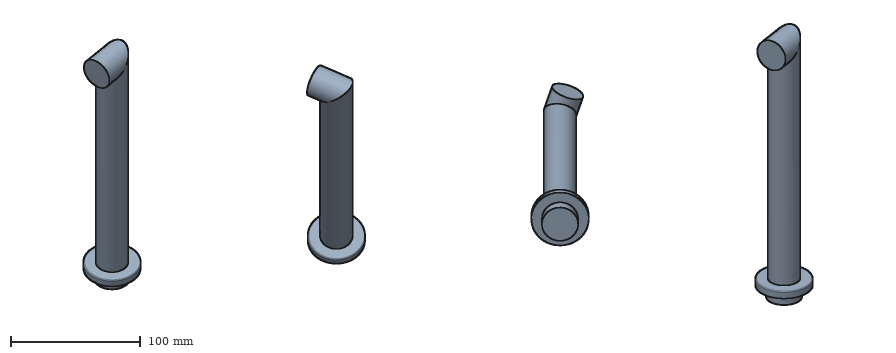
import cadquery as cq

overall_height = 232.41
tube_diameter = 25.4
outlet_reach = 19.05
flange_diameter = 44.45
flange_thickness = 6.35
flange_edge_radius = 0.762
spigot_diameter = 27.94
spigot_length = 10.16

tube_radius = tube_diameter / 2
flange_top = spigot_length + flange_thickness
outlet_axis_height = overall_height - tube_radius


def make_spigot():
    """Short round stub below the flange, standing on Z = 0."""
    return cq.Workplane("XY").circle(spigot_diameter / 2).extrude(spigot_length)


def make_flange():
    """Round flange with a small fillet on its upper edge."""
    disc = (
        cq.Workplane("XY")
        .workplane(offset=spigot_length)
        .circle(flange_diameter / 2)
        .extrude(flange_thickness)
    )
    return disc.faces(">Z").edges().fillet(flange_edge_radius)


def make_spout():
    """Vertical tube mitred at 45 degrees into an outlet that points to -Y."""
    path = (
        cq.Workplane("YZ")
        .moveTo(0, flange_top)
        .lineTo(0, outlet_axis_height)
        .lineTo(-outlet_reach, outlet_axis_height)
    )
    return (
        cq.Workplane("XY")
        .workplane(offset=flange_top)
        .circle(tube_radius)
        .sweep(path, transition="right")
    )


result = make_spigot().union(make_flange()).union(make_spout())